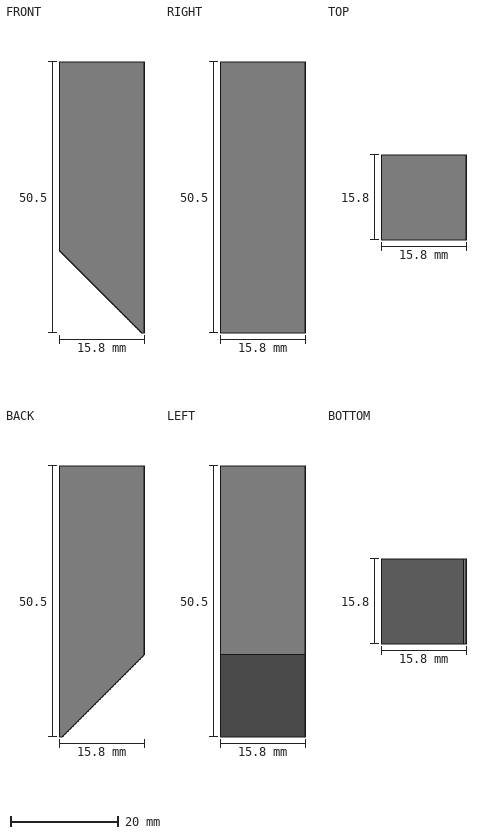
import cadquery as cq

side = 15.85
length = 50.5
tip_flat = 0.5
bevel = side - tip_flat

profile = [
    (side / 2 - tip_flat, 0),
    (side / 2, 0),
    (side / 2, length),
    (-side / 2, length),
    (-side / 2, bevel),
]

result = (
    cq.Workplane("XZ")
    .polyline(profile)
    .close()
    .extrude(side / 2, both=True)
)